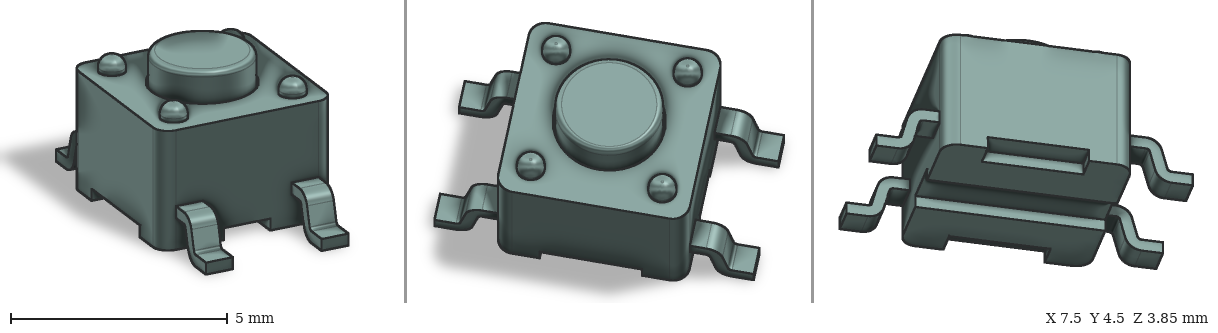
import cadquery as cq
import math

overall_length = 7.5
housing_side = 4.5
housing_height = 3.0
housing_corner_radius = 0.4
standoff = 0.05
housing_top = standoff + housing_height

button_diameter = 2.5
button_height = 0.795
button_edge_radius = 0.15
clearance_diameter = 2.6
clearance_depth = 0.3

rivet_diameter = 0.65
rivet_height = 0.4
rivet_edge_radius = 0.3
rivet_offset = 1.545

recess_height = 0.3
channel_width = 1.2
notch_width = 2.4
notch_depth = 0.6

lead_thickness = 0.3
lead_width = 0.7
lead_shoulder_top = 1.15
lead_foot_length = 0.51
lead_bend_angle = math.radians(75)
lead_inner_radius = 0.1
lead_outer_radius = lead_inner_radius + lead_thickness
lead_embed = 0.15
lead_offset = housing_side / 2 - housing_corner_radius - lead_width / 2


def make_housing():
    """Box with a clearance groove on top, a cross channel and two notches below."""
    housing = (
        cq.Workplane("XY", origin=(0, 0, standoff))
        .rect(housing_side, housing_side)
        .extrude(housing_height)
        .edges("|Z")
        .fillet(housing_corner_radius)
    )
    clearance = (
        cq.Workplane("XY", origin=(0, 0, housing_top))
        .circle(clearance_diameter / 2)
        .extrude(-clearance_depth)
    )
    underside = cq.Workplane("XY", origin=(0, 0, standoff))
    channel = underside.rect(housing_side, channel_width).extrude(recess_height)
    notch_centre = (housing_side - notch_depth) / 2
    notches = (
        underside.pushPoints([(0, -notch_centre), (0, notch_centre)])
        .rect(notch_width, notch_depth)
        .extrude(recess_height)
    )
    return housing.cut(clearance).cut(channel).cut(notches)


def make_button():
    """Cylinder standing on the clearance floor, with a rounded top edge."""
    return (
        cq.Workplane("XY", origin=(0, 0, housing_top - clearance_depth))
        .circle(button_diameter / 2)
        .extrude(clearance_depth + button_height)
        .faces(">Z")
        .edges()
        .fillet(button_edge_radius)
    )


def make_rivets():
    """Four domed pins, one near each corner of the top face."""
    return (
        cq.Workplane("XY", origin=(0, 0, housing_top))
        .rect(2 * rivet_offset, 2 * rivet_offset, forConstruction=True)
        .vertices()
        .circle(rivet_diameter / 2)
        .extrude(rivet_height)
        .faces(">Z")
        .edges()
        .fillet(rivet_edge_radius)
    )


def make_lead(y_centre):
    """Lead on the -X side: flat foot, sloped riser and shoulder joined by two round bends."""
    tip_x = -overall_length / 2
    end_x = -housing_side / 2 + lead_embed

    foot_x = tip_x + lead_foot_length
    foot_z = lead_outer_radius
    shoulder_z = lead_shoulder_top - lead_outer_radius
    radius_sum = lead_inner_radius + lead_outer_radius
    rise = shoulder_z - foot_z
    run = (radius_sum + rise * math.cos(lead_bend_angle)) / math.sin(lead_bend_angle)
    shoulder_x = foot_x + run

    def foot_point(radius, turn):
        return (foot_x + radius * math.sin(turn), foot_z - radius * math.cos(turn))

    def shoulder_point(radius, turn):
        return (shoulder_x - radius * math.sin(turn), shoulder_z + radius * math.cos(turn))

    full = lead_bend_angle
    half = lead_bend_angle / 2
    profile = (
        cq.Workplane("XZ", origin=(0, y_centre + lead_width / 2, 0))
        .moveTo(tip_x, 0)
        .lineTo(foot_x, 0)
        .threePointArc(foot_point(lead_outer_radius, half), foot_point(lead_outer_radius, full))
        .lineTo(*shoulder_point(lead_inner_radius, full))
        .threePointArc(shoulder_point(lead_inner_radius, half), shoulder_point(lead_inner_radius, 0))
        .lineTo(end_x, lead_shoulder_top - lead_thickness)
        .lineTo(end_x, lead_shoulder_top)
        .lineTo(shoulder_x, lead_shoulder_top)
        .threePointArc(shoulder_point(lead_outer_radius, half), shoulder_point(lead_outer_radius, full))
        .lineTo(*foot_point(lead_inner_radius, full))
        .threePointArc(foot_point(lead_inner_radius, half), foot_point(lead_inner_radius, 0))
        .lineTo(tip_x, lead_thickness)
        .close()
    )
    return profile.extrude(lead_width)


result = make_housing().union(make_button()).union(make_rivets())
for y_centre in (-lead_offset, lead_offset):
    lead = make_lead(y_centre)
    result = result.union(lead).union(lead.mirror("YZ"))